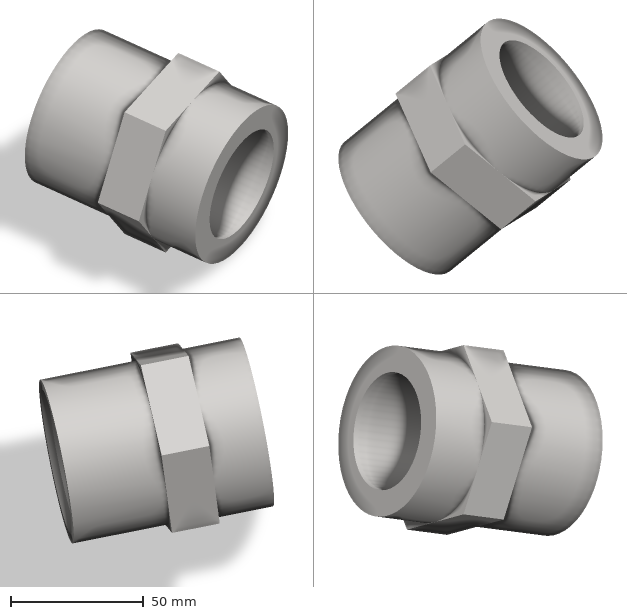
import cadquery as cq
import math

total_length = 77.0
hex_start = 36.6
hex_width = 18.4
hex_end = hex_start + hex_width

hex_across_flats = 65.0
hex_across_corners = hex_across_flats / math.cos(math.radians(30))
spigot_diameter = 63.0
collar_diameter = hex_across_flats

through_diameter = 44.9
socket_diameter = 49.9
mouth_diameter = 55.3
mouth_depth = (mouth_diameter - socket_diameter) / 2
socket_depth = hex_start


def section(start):
    """Workplane across the part axis, with local X along Y and local Y along Z."""
    return cq.Workplane("YZ", origin=(start, 0, 0))


def outer_body():
    """Spigot, hexagon with corners on the Y axis, and collar."""
    spigot = section(0).circle(spigot_diameter / 2).extrude(hex_start)
    hexagon = section(hex_start).polygon(6, hex_across_corners).extrude(hex_width)
    collar = section(hex_end).circle(collar_diameter / 2).extrude(total_length - hex_end)
    return spigot.union(hexagon).union(collar)


def stepped_bore():
    """Tapered mouth, socket and through hole, revolved about the X axis."""
    return (
        cq.Workplane("XY")
        .moveTo(0, 0)
        .lineTo(0, mouth_diameter / 2)
        .lineTo(mouth_depth, socket_diameter / 2)
        .lineTo(socket_depth, socket_diameter / 2)
        .lineTo(socket_depth, through_diameter / 2)
        .lineTo(total_length, through_diameter / 2)
        .lineTo(total_length, 0)
        .close()
        .revolve(360, (0, 0, 0), (1, 0, 0))
    )


result = outer_body().cut(stepped_bore())